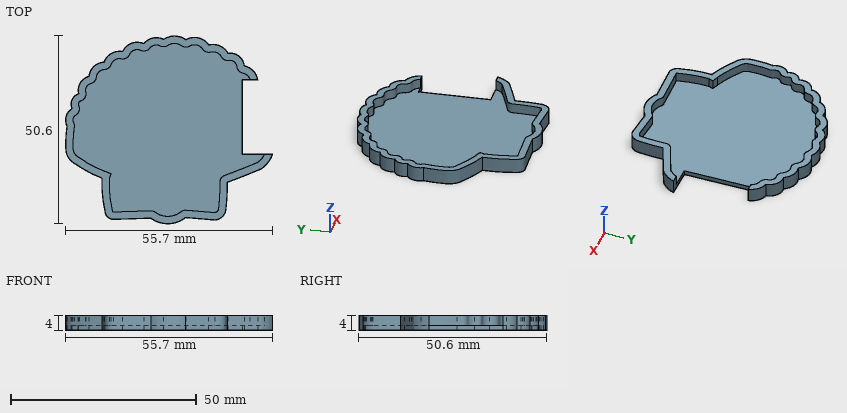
import cadquery as cq

HEIGHT = 4.0
FLOOR_THICKNESS = 1.35
WALL_THICKNESS = 2.0

NOTCH_LEFT = 19.7
NOTCH_TOP = 13.5
NOTCH_BOTTOM = -6.45
NOTCH_REACH = 11.15

FIRST_VALLEY = (-27.5, 1.05)
SCALLOPS = [
    ((-27.6, 4.05), (-26.15, 5.75)),
    ((-26.15, 8.15), (-24.35, 9.75)),
    ((-23.95, 12.6), (-21.55, 14.45)),
    ((-20.55, 16.8), (-17.5, 18.3)),
    ((-15.45, 20.7), (-12.5, 21.1)),
    ((-10.0, 23.4), (-6.8, 23.25)),
    ((-4.25, 24.8), (-1.5, 24.4)),
    ((1.6, 25.3), (4.5, 24.3)),
    ((7.95, 24.8), (10.65, 22.9)),
    ((13.7, 22.65), (15.85, 20.7)),
    ((18.85, 19.85), (20.25, 17.3)),
    ((22.75, 15.85), (23.85, NOTCH_TOP)),
]

LEFT_JAW_CORNER = (-18.05, -13.0)
RIGHT_JAW_CORNER = (15.65, -14.1)

INNER_CORNER = (-15.6, -11.75)
INNER_CORNER_JAW_END = (-17.35, -11.1)
INNER_CORNER_NECK_END = (-16.05, -13.0)

LOWER_TIP = (27.85, NOTCH_BOTTOM)


def draw_outline():
    """Closed head outline, ignoring the notch."""
    path = cq.Workplane("XY").moveTo(*FIRST_VALLEY)
    for crest, valley in SCALLOPS:
        path = path.threePointArc(crest, valley)
    path = path.lineTo(*LOWER_TIP)
    path = path.threePointArc((26.75, -8.6), (24.9, -10.4))
    path = path.threePointArc((20.75, -12.15), RIGHT_JAW_CORNER)
    path = path.threePointArc((15.6, -17.8), (15.35, -21.1))
    path = path.threePointArc((14.4, -23.3), (12.4, -24.25))
    path = path.lineTo(4.4, -23.6)
    path = path.threePointArc((-0.2, -25.25), (-4.9, -23.75))
    path = path.lineTo(-15.15, -24.1)
    path = path.threePointArc((-16.55, -23.4), (-17.3, -21.8))
    path = path.threePointArc((-17.9, -18.3), LEFT_JAW_CORNER)
    path = path.threePointArc((-21.2, -11.6), (-25.25, -9.15))
    path = path.threePointArc((-27.25, -7.2), (-27.8, -5.0))
    path = path.threePointArc((-27.75, -1.35), FIRST_VALLEY)
    return path.close()


def make_notch():
    """Block that opens the right side through the full height."""
    return (
        cq.Workplane("XY")
        .moveTo(NOTCH_LEFT, NOTCH_BOTTOM)
        .lineTo(NOTCH_LEFT + NOTCH_REACH, NOTCH_BOTTOM)
        .lineTo(NOTCH_LEFT + NOTCH_REACH, NOTCH_TOP)
        .lineTo(NOTCH_LEFT, NOTCH_TOP)
        .close()
        .extrude(HEIGHT)
    )


def make_pocket():
    """Recess that leaves a wall of even thickness around the floor."""
    depth = HEIGHT - FLOOR_THICKNESS
    recess = draw_outline().offset2D(-WALL_THICKNESS).extrude(depth)
    return recess.translate((0, 0, FLOOR_THICKNESS))


def make_corner_fill():
    """Material that squares off the wall's inner corner at the left jaw."""
    corner = [LEFT_JAW_CORNER, INNER_CORNER_JAW_END, INNER_CORNER, INNER_CORNER_NECK_END]
    return cq.Workplane("XY").polyline(corner).close().extrude(HEIGHT)


body = draw_outline().extrude(HEIGHT)
tray = body.cut(make_pocket()).union(make_corner_fill())
result = tray.cut(make_notch())